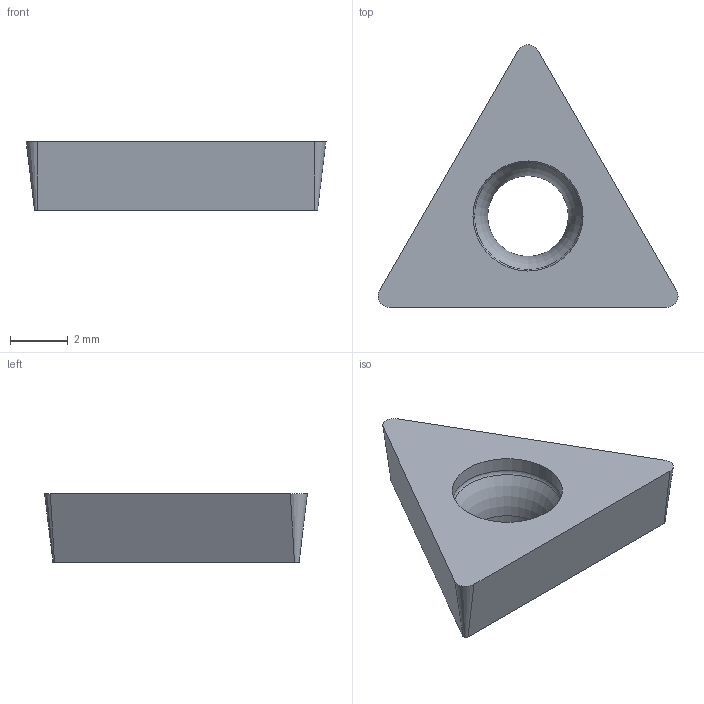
import cadquery as cq
import math

inscribed_diameter = 6.35
corner_radius = 0.397
thickness = 2.38
clearance_angle = 7.0
bore_diameter = 2.8
recess_diameter = 3.82
recess_depth = 0.5
recess_blend_radius = 0.25
seat_curve_radius = 2.4

inscribed_radius = inscribed_diameter / 2
corner_center_distance = 2 * (inscribed_radius - corner_radius)
bore_radius = bore_diameter / 2
recess_radius = recess_diameter / 2


def polar(radius, angle):
    """Point in the XY plane at the given radius and angle in degrees."""
    return (radius * math.cos(math.radians(angle)), radius * math.sin(math.radians(angle)))


def corner_point(corner_angle, side_angle):
    """Point on a corner arc, in the direction side_angle from the arc centre."""
    center_x, center_y = polar(corner_center_distance, corner_angle)
    offset_x, offset_y = polar(corner_radius, side_angle)
    return (center_x + offset_x, center_y + offset_y)


def make_body():
    """Rounded triangle on the top plane (Z = 0), shrinking downward by the clearance angle."""
    corner_angles = (90, 210, 330)
    half_arc = 60
    first_angle = corner_angles[0]
    outline = cq.Workplane("XY").moveTo(*corner_point(first_angle, first_angle - half_arc))
    for index, angle in enumerate(corner_angles):
        if index > 0:
            outline = outline.lineTo(*corner_point(angle, angle - half_arc))
        outline = outline.threePointArc(corner_point(angle, angle), corner_point(angle, angle + half_arc))
    return outline.close().extrude(-thickness, taper=clearance_angle)


def arc_point(center, radius, angle):
    """Point on an arc of the hole profile, as (distance from the axis, height)."""
    offset_x, offset_z = polar(radius, angle)
    return (center[0] + offset_x, center[1] + offset_z)


def make_screw_hole():
    """Recess wall, blend, convex screw seat and through bore, each tangent to the next."""
    radius_sum = recess_blend_radius + seat_curve_radius
    sweep_cosine = 1 - (recess_radius - bore_radius) / radius_sum
    sweep = math.degrees(math.acos(sweep_cosine))
    seat_bottom = -recess_depth - radius_sum * math.sin(math.radians(sweep))

    blend_center = (recess_radius - recess_blend_radius, -recess_depth)
    seat_center = (bore_radius + seat_curve_radius, seat_bottom)
    blend_middle = arc_point(blend_center, recess_blend_radius, -sweep / 2)
    blend_end = arc_point(blend_center, recess_blend_radius, -sweep)
    seat_middle = arc_point(seat_center, seat_curve_radius, 180 - sweep / 2)

    return (
        cq.Workplane("XZ")
        .moveTo(0, 0)
        .lineTo(recess_radius, 0)
        .lineTo(recess_radius, -recess_depth)
        .threePointArc(blend_middle, blend_end)
        .threePointArc(seat_middle, (bore_radius, seat_bottom))
        .lineTo(bore_radius, -thickness)
        .lineTo(0, -thickness)
        .close()
        .revolve(360, (0, 0, 0), (0, 1, 0))
    )


result = make_body().cut(make_screw_hole())